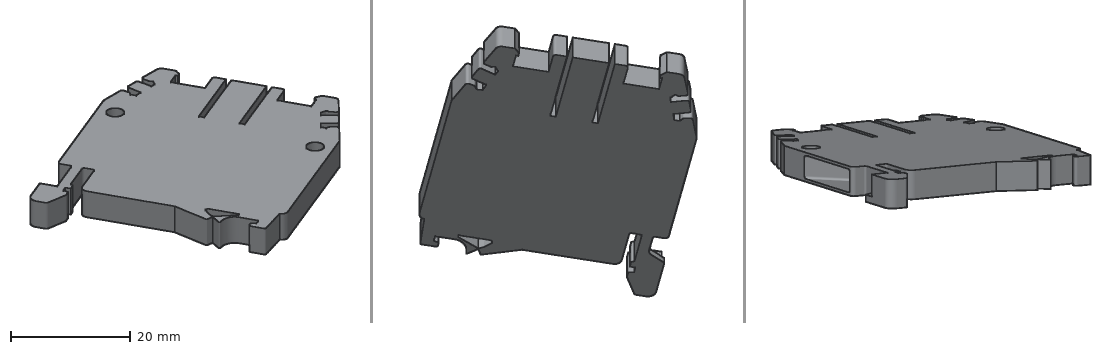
import cadquery as cq
import math

thickness = 5.0
height = 50.5
half_width = 21.0

shoulder_y = 36.75
slot_inner_x = 3.15
slot_outer_x = 4.1
bay_inner_x = 6.4
bay_outer_x = 12.5
snap_lip_x = 12.1
snap_lip_y = 48.95
bay_floor_y = 46.45

hole_x = 17.8
hole_y = 33.45
hole_diameter = 3.05
hole_depth = 2.5

body_bottom_y = 13.55
rail_seat_y = 6.05
foot_left_x = -21.5
foot_stem_left_x = -18.45
foot_stem_right_x = -16.5
foot_hook_x = -16.0
foot_groove_x = -16.95
foot_gap_right_x = -14.4
ledge_thickness = 1.2
ledge_overlap_y = 11.1
right_foot_bottom_y = 3.8
right_foot_hook_x = 16.45
right_foot_groove_x = 17.35

latch_web_x = 9.7
latch_web_y = 4.8
latch_web_thickness = 0.15
latch_opening_top_y = 7.1

pocket_top_y = 29.95
pocket_bottom_y = 14.4
pocket_floor_top_y = 23.7
pocket_floor_bottom_y = 18.95
pocket_depth = pocket_top_y - pocket_floor_top_y
pocket_wall = 0.5
pocket_corner_radius = 0.45


def rounded_corner(before, corner, after):
    """Start, middle and end of the arc that rounds a corner given as (x, y, radius)."""
    x, y, radius = corner
    point = cq.Vector(x, y)
    to_before = (cq.Vector(before[0], before[1]) - point).normalized()
    to_after = (cq.Vector(after[0], after[1]) - point).normalized()
    half_angle = to_before.getAngle(to_after) / 2
    setback = radius / math.tan(half_angle)
    bisector = (to_before + to_after).normalized()
    middle = point + bisector * (radius / math.sin(half_angle) - radius)
    return point + to_before * setback, middle, point + to_after * setback


def plate(corners, plate_thickness):
    """Extrude a closed outline of (x, y, radius) corners upward from Z = 0."""
    pieces = []
    for i, corner in enumerate(corners):
        x, y, radius = corner
        if radius > 0:
            following = corners[(i + 1) % len(corners)]
            pieces.append(rounded_corner(corners[i - 1], corner, following))
        else:
            pieces.append((cq.Vector(x, y),))

    edges = []
    for i, piece in enumerate(pieces):
        edges.append(cq.Edge.makeLine(pieces[i - 1][-1], piece[0]))
        if len(piece) > 1:
            edges.append(cq.Edge.makeThreePointArc(*piece))
    wire = cq.Wire.assembleEdges(edges)
    return cq.Workplane("XY").add(wire).toPending().extrude(plate_thickness)


upper_right = [
    (half_width, shoulder_y, 0),
    (19.35, 41.2, 0.5),
    (17.9, 40.8, 0.2),
    (17.4, 40.1, 0),
    (16.4, 40.15, 0),
    (16.0, 41.4, 0.15),
    (18.9, 42.4, 0.4),
    (17.95, 45.0, 0.4),
    (15.05, 44.0, 0),
    (14.75, 44.85, 0),
    (15.45, 45.8, 0.15),
    (16.0, 45.55, 0.15),
    (17.6, 46.05, 0.45),
    (15.9, height, 1.1),
    (13.05, height, 0),
    (snap_lip_x, 49.6, 0.15),
    (snap_lip_x, snap_lip_y, 0),
    (bay_outer_x, snap_lip_y, 0),
    (bay_outer_x, bay_floor_y, 0),
    (bay_inner_x, bay_floor_y, 0),
    (bay_inner_x, height, 0.5),
    (slot_outer_x, height, 0),
    (slot_outer_x, shoulder_y, 0),
    (slot_inner_x, shoulder_y, 0),
    (slot_inner_x, height, 0),
]
upper_left = [(-x, y, radius) for x, y, radius in reversed(upper_right)]

left_foot = [
    (-half_width, body_bottom_y, 0.7),
    (foot_stem_left_x, body_bottom_y, 0.35),
    (foot_stem_left_x, rail_seat_y, 0),
    (foot_left_x, rail_seat_y, 0),
    (foot_left_x, 0, 1.45),
    (-18.1, 0, 0.6),
    (foot_hook_x, 3.65, 0.3),
    (foot_hook_x, 4.8, 0.15),
    (foot_groove_x, 5.0, 0),
    (foot_groove_x, rail_seat_y, 0),
    (foot_hook_x, rail_seat_y, 0),
    (foot_hook_x, 7.15, 0.2),
    (foot_stem_right_x, 7.4, 0),
    (foot_stem_right_x, body_bottom_y, 0.35),
    (foot_gap_right_x, body_bottom_y, 0.35),
    (foot_gap_right_x, rail_seat_y, 1.25),
]

right_foot = [
    (2.45, rail_seat_y, 0),
    (9.05, 3.55, 0.15),
    (latch_web_x, latch_web_y - latch_web_thickness / 2, 0),
    (11.45, 3.2, 0.15),
    (11.95, rail_seat_y, 2.4),
    (right_foot_groove_x, rail_seat_y, 0),
    (right_foot_groove_x, 5.05, 0),
    (right_foot_hook_x, 4.75, 0.15),
    (right_foot_hook_x, right_foot_bottom_y, 0.4),
    (19.45, right_foot_bottom_y, 0.25),
    (19.95, 9.55, 0),
    (half_width, 9.7, 1.0),
]

body = plate(left_foot + right_foot + upper_right + upper_left, thickness)

ledge = plate(
    [
        (foot_left_x, rail_seat_y, 0),
        (foot_stem_right_x, rail_seat_y, 0),
        (foot_stem_right_x, ledge_overlap_y, 0),
        (foot_stem_left_x, ledge_overlap_y, 0),
        (foot_stem_left_x, 9.75, 0.75),
        (foot_left_x, 8.1, 0),
    ],
    ledge_thickness,
)

latch_opening = plate(
    [
        (latch_web_x, latch_web_y + latch_web_thickness / 2, 0),
        (13.6, 6.7, 0),
        (13.6, latch_opening_top_y, 0),
        (8.05, latch_opening_top_y, 0.3),
        (7.65, 6.65, 0.25),
        (8.85, 5.4, 0),
    ],
    thickness,
)

marking_holes = (
    cq.Workplane("XY", origin=(0, 0, thickness - hole_depth))
    .pushPoints([(-hole_x, hole_y), (hole_x, hole_y)])
    .circle(hole_diameter / 2)
    .extrude(hole_depth)
)

pocket_floor_x = -half_width + pocket_depth
side_pocket = (
    cq.Workplane("XY", origin=(0, 0, pocket_wall))
    .polyline(
        [
            (-half_width, pocket_top_y),
            (pocket_floor_x, pocket_floor_top_y),
            (pocket_floor_x, pocket_floor_bottom_y),
            (-half_width, pocket_bottom_y),
        ]
    )
    .close()
    .extrude(thickness - 2 * pocket_wall)
    .edges("not(|X or |Y or |Z)")
    .fillet(pocket_corner_radius)
)

result = body.union(ledge).cut(latch_opening).cut(marking_holes).cut(side_pocket)